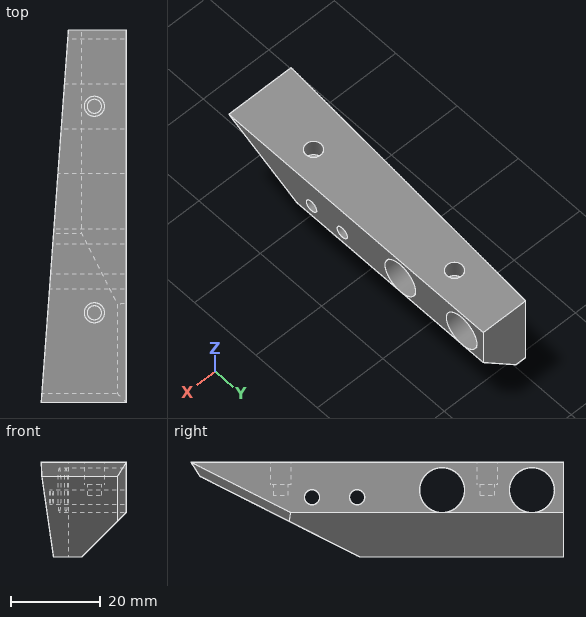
import cadquery as cq
import math


length = 83.0
height = 21.2
front_width = 19.0
back_width = 12.95

undercut_length = 2.0
undercut_depth = 3.15
slope_end = 37.7

side_bevel = 10.0
relief_width = 2.0

bore_diameter = 10.0
bore_depth_below_top = 6.2
bore_positions = (55.95, 75.95)
pin_diameter = 3.3
pin_depth_below_top = 7.8
pin_positions = (27.0, 37.0)

screw_diameter = 4.5
screw_depth = 5.0
pilot_diameter = 3.15
pilot_depth = 7.5
screw_inset = 7.1
screw_positions = (20.0, 66.0)


def side_profile_body():
    """Side outline extruded across the full front width."""
    return (
        cq.Workplane("YZ")
        .polyline([
            (0, 0),
            (undercut_length, -undercut_depth),
            (slope_end, -height),
            (length, -height),
            (length, 0),
        ])
        .close()
        .extrude(-front_width)
    )


def plan_taper():
    """Tapered plan outline, used to trim the -X side."""
    return (
        cq.Workplane("XY")
        .polyline([(0, 0), (0, length), (-back_width, length), (-front_width, 0)])
        .close()
        .extrude(-height)
    )


def side_bevel_cutter():
    """Triangular prism along the whole lower +X edge."""
    return (
        cq.Workplane("XZ")
        .polyline([(0, side_bevel - height), (-side_bevel, -height), (0, -height)])
        .close()
        .extrude(-length)
    )


def slope_relief_cutter():
    """Wedge running from the tip parallel to the slope, along its +X edge."""
    slope_angle = math.atan2(height - undercut_depth, slope_end - undercut_length)
    run, fall = math.cos(slope_angle), math.sin(slope_angle)
    slope_offset = undercut_depth * run - undercut_length * fall
    along_slope = cq.Plane(origin=(0, 0, 0), xDir=(1, 0, 0), normal=(0, run, -fall))
    return (
        cq.Workplane(along_slope)
        .polyline([(0, 0), (-relief_width, slope_offset), (0, slope_offset)])
        .close()
        .extrude(length, both=True)
    )


def cross_holes(positions, depth_below_top, diameter):
    """Cylinders along X through the whole body."""
    return (
        cq.Workplane("YZ")
        .pushPoints([(y, -depth_below_top) for y in positions])
        .circle(diameter / 2)
        .extrude(-front_width)
    )


def top_holes(diameter, depth):
    """Blind cylinders down from the top face."""
    return (
        cq.Workplane("XY")
        .pushPoints([(-screw_inset, y) for y in screw_positions])
        .circle(diameter / 2)
        .extrude(-depth)
    )


result = (
    side_profile_body()
    .intersect(plan_taper())
    .cut(side_bevel_cutter())
    .cut(slope_relief_cutter())
    .cut(cross_holes(bore_positions, bore_depth_below_top, bore_diameter))
    .cut(cross_holes(pin_positions, pin_depth_below_top, pin_diameter))
    .cut(top_holes(screw_diameter, screw_depth))
    .cut(top_holes(pilot_diameter, pilot_depth))
)